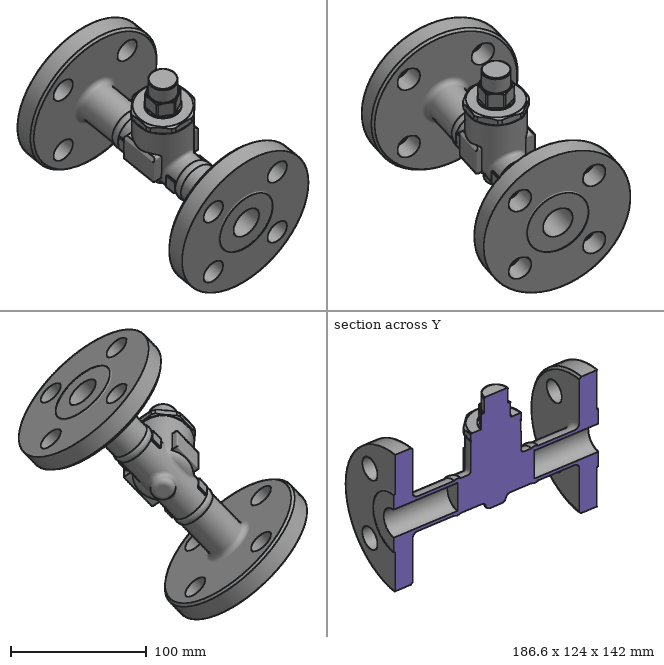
import cadquery as cq
import math

length = 186.6
half_length = length / 2
height = 142.0

flange_dia = 124.0
flange_thickness = 16.5
flange_chamfer = 1.9
face_dia = 51.9
face_height = 1.1
bolt_hole_dia = 19.0
bolt_offset = 31.3
bolt_hole_length = flange_thickness + 2 * face_height
flange_outer_x = half_length - face_height
flange_inner_x = flange_outer_x - flange_thickness

pipe_dia = 32.1
pipe_radius = pipe_dia / 2
bore_dia = 25.0
neck_radius = 4.5
bead_x = 35.3
bead_width = 6.2
bead_height = 1.0
bead_start = bead_x - bead_width / 2
bore_depth = half_length - bead_x

body_dia = 46.0
body_radius = body_dia / 2
body_top_z = 45.2
body_bottom_z = -5.6
body_bottom_round = 8.4
body_blend_radius = 2.6
body_seam_angle = 90.0

cap_flats = 46.3
cap_corner_dia = 48.9
cap_top_z = 52.2
cap_end_dia = 44.6
nut_flats = 24.0
nut_corner_dia = 26.9
nut_top_z = 66.0
nut_end_dia = 24.3
collar_dia = 27.8
collar_height = 1.1
bevel_angle = 30.0

top_z = height - flange_dia / 2
stem_dia = 22.0
stem_chamfer = 1.1
stem_chamfer_depth = 0.5

boss_dia = 18.7
boss_bottom_z = -22.8
boss_edge_radius = 4.1
boss_blend_radius = 3.7

plate_y = 24.0
front_plate_width = 33.4
back_plate_width = 25.4
plate_bottom_z = -0.4
plate_top_z = 23.1
plate_root_y = 13.0
plate_top_bevel = 2.5
plate_corner_radius = 2.2
plate_edge_radius = 1.0

pad_x = 26.7
pad_length = 9.9
pad_height = 12.0
pad_y = 16.2
pad_corner_radius = 1.1

selection_margin = 0.2


def cylinder_z(diameter, bottom, top):
    return cq.Workplane("XY").workplane(offset=bottom).circle(diameter / 2).extrude(top - bottom)


def make_pipe():
    """Plain middle stretch of the pipe, between the two flanged ends."""
    return cq.Workplane("YZ").circle(pipe_radius).extrude(bead_start, both=True)


def make_pipe_end():
    """Pipe end at +X with its bead, neck fillet and flange, turned about X."""
    neck_x = flange_inner_x - neck_radius
    neck_mid = neck_radius * (1 - math.sqrt(0.5))
    face_root_radius = face_dia / 2 + face_height
    face_mid = face_height * (1 - math.sqrt(0.5))
    flange_radius = flange_dia / 2
    profile = (
        cq.Workplane("XY")
        .moveTo(bead_start, 0)
        .lineTo(bead_start, pipe_radius)
        .threePointArc((bead_x, pipe_radius + bead_height), (bead_x + bead_width / 2, pipe_radius))
        .lineTo(neck_x, pipe_radius)
        .threePointArc(
            (flange_inner_x - neck_mid, pipe_radius + neck_mid),
            (flange_inner_x, pipe_radius + neck_radius),
        )
        .lineTo(flange_inner_x, flange_radius - flange_chamfer)
        .lineTo(flange_inner_x + flange_chamfer, flange_radius)
        .lineTo(flange_outer_x, flange_radius)
        .lineTo(flange_outer_x, face_root_radius)
        .threePointArc((flange_outer_x + face_mid, face_dia / 2 + face_mid), (half_length, face_dia / 2))
        .lineTo(half_length, 0)
        .close()
    )
    return profile.revolve(360, (0, 0, 0), (1, 0, 0))


def make_body():
    """Round body with a rounded underside."""
    body = cylinder_z(body_dia, body_bottom_z, body_top_z).rotate((0, 0, 0), (0, 0, 1), body_seam_angle)
    return body.faces("<Z").edges().fillet(body_bottom_round)


def turned_prism(sides, flats, corner_dia, end_dia, bottom, top, bevelled_faces):
    """Prism with a flat facing Y, its corners turned round and the chosen ends bevelled."""
    bevel_inset = (corner_dia - end_dia) / 2
    bevel_height = bevel_inset * math.tan(math.radians(bevel_angle))
    prism = (
        cq.Workplane("XY")
        .workplane(offset=bottom)
        .transformed(rotate=(0, 0, 90))
        .polygon(sides, flats, circumscribed=True)
        .extrude(top - bottom)
    )
    envelope = cylinder_z(corner_dia, bottom, top)
    for face in bevelled_faces:
        envelope = envelope.faces(face).chamfer(bevel_height, bevel_inset)
    return prism.intersect(envelope)


def make_plate(width):
    """Plate on the -Y side with a bevelled top and rounded edges."""
    depth = plate_y - plate_root_y
    plate_height = plate_top_z - plate_bottom_z
    block = cq.Workplane("XY").box(width, depth, plate_height)
    top_corners_rounded = block.edges(">Z and |Y").fillet(plate_corner_radius)
    front_corners_rounded = block.edges("<Y and |Z").fillet(plate_edge_radius)
    top_bevelled = block.edges("<Y and >Z").chamfer(plate_top_bevel)
    top_bevelled = top_bevelled.faces("<Y").edges("|X").fillet(plate_edge_radius)
    plate = top_corners_rounded.intersect(front_corners_rounded).intersect(top_bevelled)
    return plate.translate((0, -plate_y + depth / 2, plate_bottom_z + plate_height / 2))


def make_pad(x):
    """Flat pad reaching through the pipe to both sides."""
    return (
        cq.Workplane("XZ")
        .center(x, 0)
        .rect(pad_length, pad_height)
        .extrude(pad_y, both=True)
        .edges("|Y")
        .fillet(pad_corner_radius)
    )


def joint_zone(radius, bottom, top):
    """Selector for the edges where an upright round part of this radius meets the pipe."""
    reach_x = radius + selection_margin
    reach_y = min(radius, pipe_radius) + selection_margin
    return cq.selectors.BoxSelector((-reach_x, -reach_y, bottom), (reach_x, reach_y, top), boundingbox=True)


body_joint = joint_zone(body_radius, -pipe_radius, pipe_radius + selection_margin)
result = make_pipe().union(make_body()).edges(body_joint).fillet(body_blend_radius)

boss = cylinder_z(boss_dia, boss_bottom_z, 0).faces("<Z").edges().fillet(boss_edge_radius)
boss_joint = joint_zone(boss_dia / 2, -pipe_radius - selection_margin, -pipe_radius / 2)
result = result.union(boss).edges(boss_joint).fillet(boss_blend_radius)

pipe_end = make_pipe_end()
result = result.union(pipe_end).union(pipe_end.mirror("YZ"))

result = result.union(make_plate(front_plate_width))
result = result.union(make_plate(back_plate_width).mirror("XZ"))

collar_top_z = cap_top_z + collar_height
result = result.union(
    turned_prism(8, cap_flats, cap_corner_dia, cap_end_dia, body_top_z, cap_top_z, (">Z", "<Z"))
)
result = result.union(cylinder_z(collar_dia, cap_top_z, collar_top_z))
result = result.union(
    turned_prism(6, nut_flats, nut_corner_dia, nut_end_dia, collar_top_z, nut_top_z, (">Z",))
)
stem = cylinder_z(stem_dia, nut_top_z, top_z)
result = result.union(stem.faces(">Z").edges().chamfer(stem_chamfer, stem_chamfer_depth))

for side in (-1, 1):
    result = result.union(make_pad(side * pad_x))
    face_plane = cq.Workplane("YZ").workplane(offset=side * half_length)
    result = result.cut(face_plane.circle(bore_dia / 2).extrude(-side * bore_depth))
    bolt_holes = face_plane.rect(2 * bolt_offset, 2 * bolt_offset, forConstruction=True).vertices()
    result = result.cut(bolt_holes.circle(bolt_hole_dia / 2).extrude(-side * bolt_hole_length))